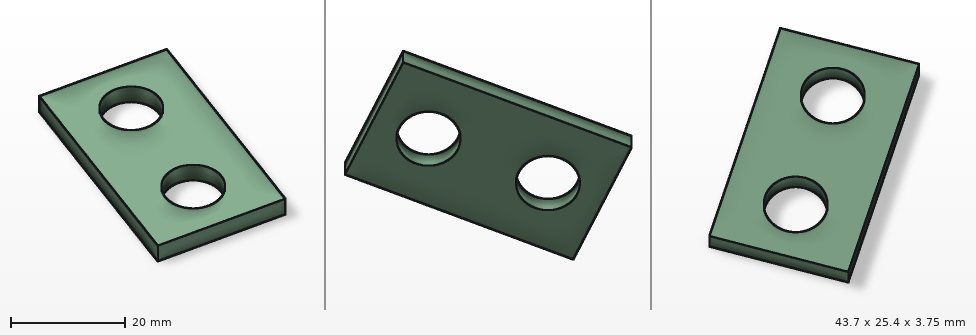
import cadquery as cq

length = 43.7
width = 25.4
thickness = 3.75

hole_diameter = 11.2
hole_spacing = 22.85

plate = cq.Workplane("XY").box(length, width, thickness)

hole_centers = [(-hole_spacing / 2, 0), (hole_spacing / 2, 0)]
result = plate.faces(">Z").workplane().pushPoints(hole_centers).hole(hole_diameter)